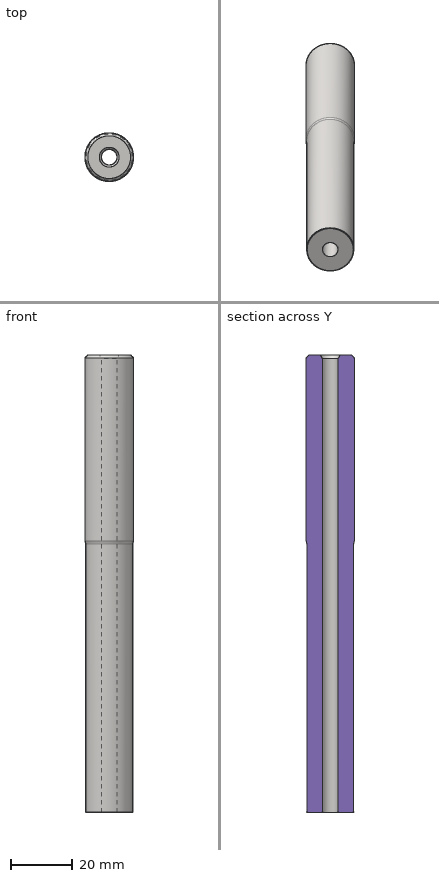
import cadquery as cq
import math

length = 150.0
diameter = 16.0

shank_diameter = 15.5
shoulder_height = 89.0
shoulder_angle = 15.0

top_chamfer = 1.0
bottom_chamfer = 0.2

bore_diameter = 5.05
mouth_diameter = 6.5
mouth_angle = 60.0

radius = diameter / 2
shank_radius = shank_diameter / 2
bore_radius = bore_diameter / 2
mouth_radius = mouth_diameter / 2
shoulder_taper_height = (radius - shank_radius) / math.tan(math.radians(shoulder_angle))
mouth_depth = (mouth_radius - bore_radius) / math.tan(math.radians(mouth_angle / 2))


def revolve_about_z(outline):
    """Solid of revolution about Z from a closed outline of (radius, height) points."""
    return cq.Workplane("XZ").polyline(outline).close().revolve(360, (0, 0, 0), (0, 1, 0))


def make_body():
    """Stepped round rod with chamfered ends, standing on the XY plane."""
    return revolve_about_z([
        (0, 0),
        (shank_radius - bottom_chamfer, 0),
        (shank_radius, bottom_chamfer),
        (shank_radius, shoulder_height - shoulder_taper_height),
        (radius, shoulder_height),
        (radius, length - top_chamfer),
        (radius - top_chamfer, length),
        (0, length),
    ])


def make_bore():
    """Through bore with its conical top mouth, as a solid to cut away."""
    return revolve_about_z([
        (0, 0),
        (bore_radius, 0),
        (bore_radius, length - mouth_depth),
        (mouth_radius, length),
        (0, length),
    ])


result = make_body().cut(make_bore())